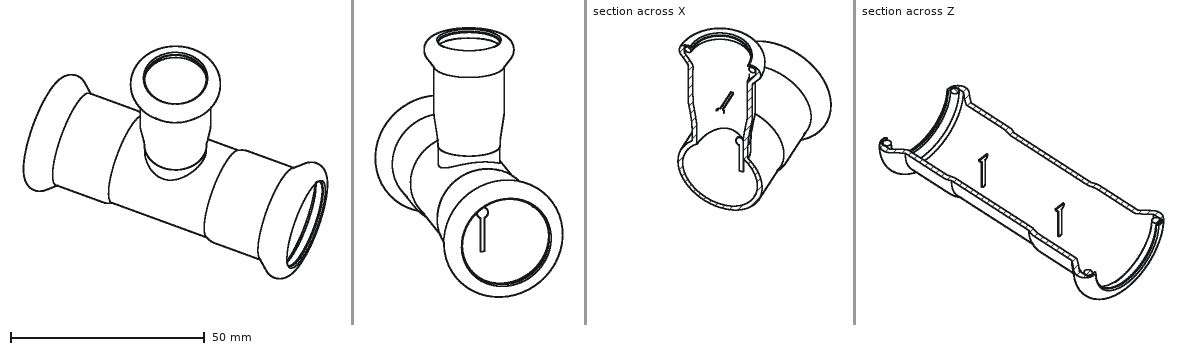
import cadquery as cq
import math

RUN_LENGTH = 74.0
OVERALL_HEIGHT = 58.5
RUN_BEAD_DIAMETER = 31.6
BRANCH_HEIGHT = OVERALL_HEIGHT - RUN_BEAD_DIAMETER / 2

RUN_BEAD_RADIUS = 3.0
RUN_BEAD_RING_RADIUS = RUN_BEAD_DIAMETER / 2 - RUN_BEAD_RADIUS
RUN_SOCKET_RADIUS = 25.3 / 2
RUN_SOCKET_BORE = 22.2 / 2
RUN_PIPE_RADIUS = 24.0 / 2
RUN_PIPE_BORE = 21.0 / 2
RUN_BEAD_LENGTH = 7.9
RUN_SOCKET_END = 21.1
RUN_TAPER_END = 23.45
RUN_LIP_BORE = 23.2 / 2
RUN_LIP_RADIUS = 12.0

BRANCH_BEAD_RADIUS = 2.7
BRANCH_BEAD_RING_RADIUS = 23.2 / 2 - BRANCH_BEAD_RADIUS
BRANCH_SOCKET_RADIUS = 18.3 / 2
BRANCH_SOCKET_BORE = 15.2 / 2
BRANCH_COLLAR_RADIUS = 16.1 / 2
BRANCH_PIPE_RADIUS = 16.0 / 2
BRANCH_PIPE_BORE = 13.0 / 2
BRANCH_BEAD_LENGTH = 7.0
BRANCH_SOCKET_END = 20.0
BRANCH_SHOULDER_LENGTH = 0.5
BRANCH_SHOULDER_DROP = 0.1
BRANCH_TAPER_END = 27.4
BRANCH_COLLAR_END = 28.9
BRANCH_LIP_BORE = 15.8 / 2
BRANCH_LIP_RADIUS = 8.3

SEAL_RECESS = 0.2
RUN_SEAL_BORE = RUN_LIP_BORE + SEAL_RECESS
BRANCH_SEAL_BORE = BRANCH_LIP_BORE + SEAL_RECESS
RUN_SEAL_SECTION = 1.1
BRANCH_SEAL_SECTION = 0.95
LIP_THICKNESS = 0.75
LIP_CHAMFER = 0.45
SEAT_FILLET = 1.5

MARK_THICKNESS = 0.4
RUN_MARK_RADIUS = 1.5
RUN_ARM_WIDTH = 1.1
BRANCH_MARK_RADIUS = 1.0
BRANCH_ARM_WIDTH = 0.75
ARM_ROOT = 0.4


def revolve_about_axis(profile):
    """Revolve a profile of (radius, height) points about Z."""
    return profile.close().revolve(360, (0, 0, 0), (0, 1, 0))


def bead_tangent_angle(tube, ring, cone_end_depth, cone_end_radius):
    """Angle on the bead's round section where its cone leaves, counted from
    the outward radial direction. The cone slopes to the axis by the same
    angle, with its sign reversed."""
    dr = cone_end_radius - ring
    dz = tube - cone_end_depth
    return math.atan2(dz, dr) + math.acos(tube / math.hypot(dr, dz))


def begin_bead(tube, ring, cone_end_depth, cone_end_radius):
    """Start a profile at the centre of a mouth face at height 0 and carry it
    round the bead and down the cone that leaves the bead tangentially."""
    tangent_angle = bead_tangent_angle(tube, ring, cone_end_depth, cone_end_radius)
    middle_angle = (math.pi / 2 + tangent_angle) / 2

    def bead_point(angle):
        return (ring + tube * math.cos(angle), -tube + tube * math.sin(angle))

    return (
        cq.Workplane("XZ")
        .moveTo(0, 0)
        .lineTo(ring, 0)
        .threePointArc(bead_point(middle_angle), bead_point(tangent_angle))
        .lineTo(cone_end_radius, -cone_end_depth)
    )


def make_seal(seal_bore, section):
    """Round-section sealing ring resting on the lip of a mouth at height 0."""
    profile = cq.Workplane("XZ").center(seal_bore + section, -LIP_THICKNESS - section).circle(section)
    return profile.revolve(360, (-seal_bore - section, 0, 0), (-seal_bore - section, 1, 0))


def make_passage(
    lip_radius, lip_bore, seat_radius, bore, cone_angle, wall_corner, end, taper_end, pipe_bore, bottom
):
    """Clear passage inward from a mouth at height 0. The seat's cone runs
    parallel to the bead's cone, one socket wall away from it. The bead's cone
    ends at wall_corner, given as (radius, depth)."""
    corner_radius, corner_depth = wall_corner
    wall = corner_radius - bore
    slope = math.tan(cone_angle)
    cone_depth = corner_depth - wall * math.tan(cone_angle / 2)
    seat_depth = cone_depth - (seat_radius - bore) / slope
    fillet_reach = SEAT_FILLET * math.tan(cone_angle / 2)
    fillet_start = (
        bore + fillet_reach * math.sin(cone_angle),
        -cone_depth + fillet_reach * math.cos(cone_angle),
    )
    return revolve_about_axis(
        cq.Workplane("XZ")
        .moveTo(0, 0)
        .lineTo(lip_radius, 0)
        .lineTo(lip_bore, -LIP_CHAMFER)
        .lineTo(lip_bore, -LIP_THICKNESS)
        .lineTo(seat_radius, -LIP_THICKNESS)
        .lineTo(seat_radius, -seat_depth)
        .lineTo(*fillet_start)
        .tangentArcPoint((bore, -cone_depth - fillet_reach), relative=False)
        .lineTo(bore, -end)
        .lineTo(pipe_bore, -taper_end)
        .lineTo(pipe_bore, -bottom)
        .lineTo(0, -bottom)
    )


def make_mark(disc_radius, arm_width, reach, depth):
    """Disc and arm along +X whose upper face is at the given depth."""
    plane = cq.Workplane("XY").workplane(offset=-depth - MARK_THICKNESS)
    arm = plane.center(reach / 2, 0).rect(reach, arm_width).extrude(MARK_THICKNESS)
    return plane.circle(disc_radius).extrude(MARK_THICKNESS).union(arm)


def to_run_end(body, side):
    """Turn a body built at a +Z mouth to the -X (side -1) or +X (side 1) end."""
    turned = body.rotate((0, 0, 0), (0, 1, 0), 90 * side)
    return turned.translate((side * RUN_LENGTH / 2, 0, 0))


def to_branch_end(body):
    return body.translate((0, 0, BRANCH_HEIGHT))


def make_run_half():
    half = RUN_LENGTH / 2
    return revolve_about_axis(
        begin_bead(RUN_BEAD_RADIUS, RUN_BEAD_RING_RADIUS, RUN_BEAD_LENGTH, RUN_SOCKET_RADIUS)
        .lineTo(RUN_SOCKET_RADIUS, -RUN_SOCKET_END)
        .tangentArcPoint((RUN_PIPE_RADIUS, -RUN_TAPER_END), relative=False)
        .lineTo(RUN_PIPE_RADIUS, -half)
        .lineTo(0, -half)
    )


def make_branch():
    shoulder_radius = BRANCH_SOCKET_RADIUS - BRANCH_SHOULDER_DROP
    return revolve_about_axis(
        begin_bead(
            BRANCH_BEAD_RADIUS, BRANCH_BEAD_RING_RADIUS, BRANCH_BEAD_LENGTH, BRANCH_SOCKET_RADIUS
        )
        .lineTo(BRANCH_SOCKET_RADIUS, -BRANCH_SOCKET_END)
        .lineTo(shoulder_radius, -BRANCH_SOCKET_END - BRANCH_SHOULDER_LENGTH)
        .lineTo(BRANCH_COLLAR_RADIUS, -BRANCH_TAPER_END)
        .lineTo(BRANCH_COLLAR_RADIUS, -BRANCH_COLLAR_END)
        .lineTo(BRANCH_PIPE_RADIUS, -BRANCH_COLLAR_END)
        .lineTo(BRANCH_PIPE_RADIUS, -BRANCH_HEIGHT)
        .lineTo(0, -BRANCH_HEIGHT)
    )


run_seal = make_seal(RUN_SEAL_BORE, RUN_SEAL_SECTION)
branch_seal = make_seal(BRANCH_SEAL_BORE, BRANCH_SEAL_SECTION)
seals = [to_run_end(run_seal, side) for side in (-1, 1)]
seals.append(to_branch_end(branch_seal))

run_half = make_run_half()
run_cone_angle = -bead_tangent_angle(
    RUN_BEAD_RADIUS, RUN_BEAD_RING_RADIUS, RUN_BEAD_LENGTH, RUN_SOCKET_RADIUS
)
run_passage = make_passage(
    RUN_LIP_RADIUS,
    RUN_LIP_BORE,
    RUN_SEAL_BORE + 2 * RUN_SEAL_SECTION,
    RUN_SOCKET_BORE,
    run_cone_angle,
    (RUN_SOCKET_RADIUS, RUN_BEAD_LENGTH),
    RUN_SOCKET_END,
    RUN_TAPER_END,
    RUN_PIPE_BORE,
    RUN_LENGTH / 2,
)
branch_cone_angle = -bead_tangent_angle(
    BRANCH_BEAD_RADIUS, BRANCH_BEAD_RING_RADIUS, BRANCH_BEAD_LENGTH, BRANCH_SOCKET_RADIUS
)
branch_passage = make_passage(
    BRANCH_LIP_RADIUS,
    BRANCH_LIP_BORE,
    BRANCH_SEAL_BORE + 2 * BRANCH_SEAL_SECTION,
    BRANCH_SOCKET_BORE,
    branch_cone_angle,
    (BRANCH_SOCKET_RADIUS, BRANCH_BEAD_LENGTH),
    BRANCH_SOCKET_END,
    BRANCH_TAPER_END,
    BRANCH_PIPE_BORE,
    BRANCH_HEIGHT,
)
run_mark = make_mark(RUN_MARK_RADIUS, RUN_ARM_WIDTH, RUN_PIPE_BORE + ARM_ROOT, RUN_TAPER_END)
branch_mark = make_mark(
    BRANCH_MARK_RADIUS, BRANCH_ARM_WIDTH, BRANCH_SOCKET_BORE + ARM_ROOT, BRANCH_SOCKET_END
)

housing = to_run_end(run_half, -1).union(to_run_end(run_half, 1))
housing = housing.union(to_branch_end(make_branch()))
for side in (-1, 1):
    housing = housing.cut(to_run_end(run_passage, side))
housing = housing.cut(to_branch_end(branch_passage))
for side in (-1, 1):
    arm_turn = 90 - 90 * side
    downward_mark = run_mark.rotate((0, 0, 0), (0, 0, 1), arm_turn)
    housing = housing.union(to_run_end(downward_mark, side))
housing = housing.union(to_branch_end(branch_mark))

result = cq.Compound.makeCompound([housing.val(), *[seal.val() for seal in seals]])